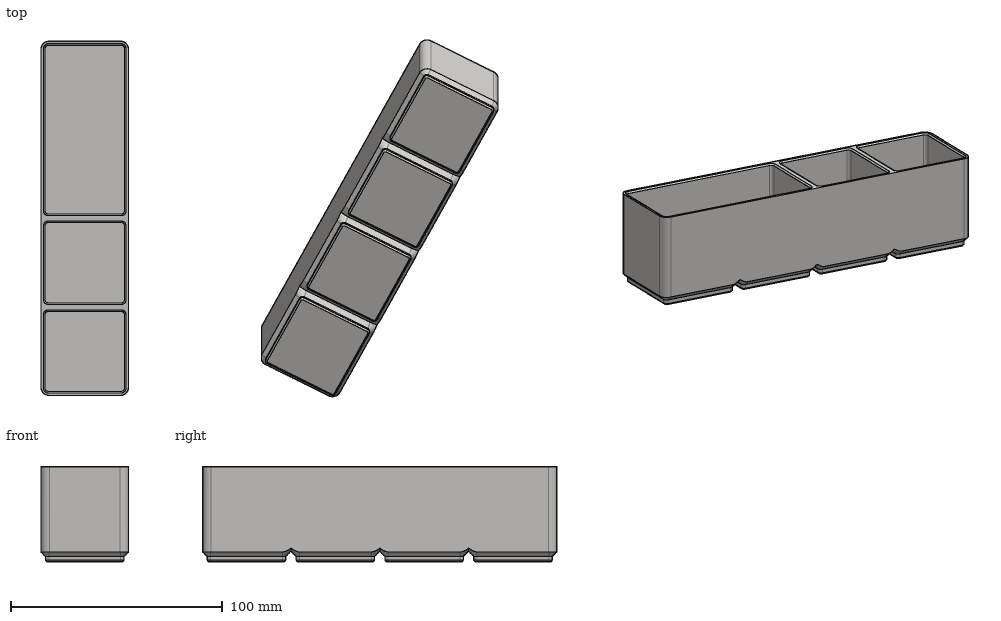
import cadquery as cq

cell = 42.0
cell_count = 4
clearance = 0.25
width = cell - 2 * clearance
length = cell_count * cell - 2 * clearance
height = 45.0
body_corner_radius = 4.0

foot_chamfer = 0.8
foot_band = 1.8
cell_flare = 2.4
cell_corner_radius = 4.0
band_width = cell - 2 * cell_flare
band_corner_radius = cell_corner_radius - cell_flare
full_flare = 4.0
foot_height = foot_chamfer + foot_band + full_flare

compartment_cells = (1, 1, 2)
rim_chamfer = 0.75
rim_wall = 1.25
wall = rim_wall + rim_chamfer
divider = 2 * wall
compartment_corner_radius = 1.5
floor_height = 7.0


def rounded_rectangle(size_x, size_y, corner_radius):
    return cq.Sketch().rect(size_x, size_y).vertices().fillet(corner_radius)


def upright_block(size_x, size_y, corner_radius, bottom, top):
    """Block between two heights with rounded vertical edges."""
    outline = rounded_rectangle(size_x, size_y, corner_radius)
    return cq.Workplane("XY").workplane(offset=bottom).placeSketch(outline).extrude(top - bottom)


def flared_block(size_x, size_y, corner_radius, bottom, spread):
    """Block that starts at the given size and spreads outward at 45 degrees on every side."""
    lower = rounded_rectangle(size_x, size_y, corner_radius)
    upper = rounded_rectangle(size_x + 2 * spread, size_y + 2 * spread, corner_radius + spread)
    raised_upper = upper.moved(cq.Location(cq.Vector(0, 0, spread)))
    return cq.Workplane("XY").workplane(offset=bottom).placeSketch(lower, raised_upper).loft(ruled=True)


def foot():
    """Foot for one cell, centred on the Z axis."""
    sole_width = band_width - 2 * foot_chamfer
    sole_radius = band_corner_radius - foot_chamfer
    band_top = foot_chamfer + foot_band
    sole = flared_block(sole_width, sole_width, sole_radius, 0, foot_chamfer)
    band = upright_block(band_width, band_width, band_corner_radius, foot_chamfer, band_top)
    flare = flared_block(band_width, band_width, band_corner_radius, band_top, full_flare)
    return sole.union(band).union(flare)


def solid_body():
    """Body with its feet, before hollowing; the body outline trims the flares."""
    body = upright_block(width, length, body_corner_radius, foot_height, height)
    for index in range(cell_count):
        foot_y = (index - (cell_count - 1) / 2) * cell
        body = body.union(foot().translate((0, foot_y, 0)))
    return body.intersect(upright_block(width, length, body_corner_radius, 0, height))


def compartment(start_y, end_y):
    """Cavity between two Y positions, opening out through a 45 degree chamfer at the rim."""
    size_x = width - 2 * wall
    size_y = end_y - start_y
    chamfer_bottom = height - rim_chamfer
    cavity = upright_block(size_x, size_y, compartment_corner_radius, floor_height, chamfer_bottom)
    mouth = flared_block(size_x, size_y, compartment_corner_radius, chamfer_bottom, rim_chamfer)
    return cavity.union(mouth).translate((0, (start_y + end_y) / 2, 0))


def hollow(body):
    """Cut the row of compartments, with dividers centred on the cell boundaries."""
    start_y = -length / 2 + wall
    cells_passed = 0
    for cells in compartment_cells:
        cells_passed += cells
        boundary_y = (cells_passed - cell_count / 2) * cell
        end_y = min(boundary_y - divider / 2, length / 2 - wall)
        body = body.cut(compartment(start_y, end_y))
        start_y = boundary_y + divider / 2
    return body


result = hollow(solid_body())